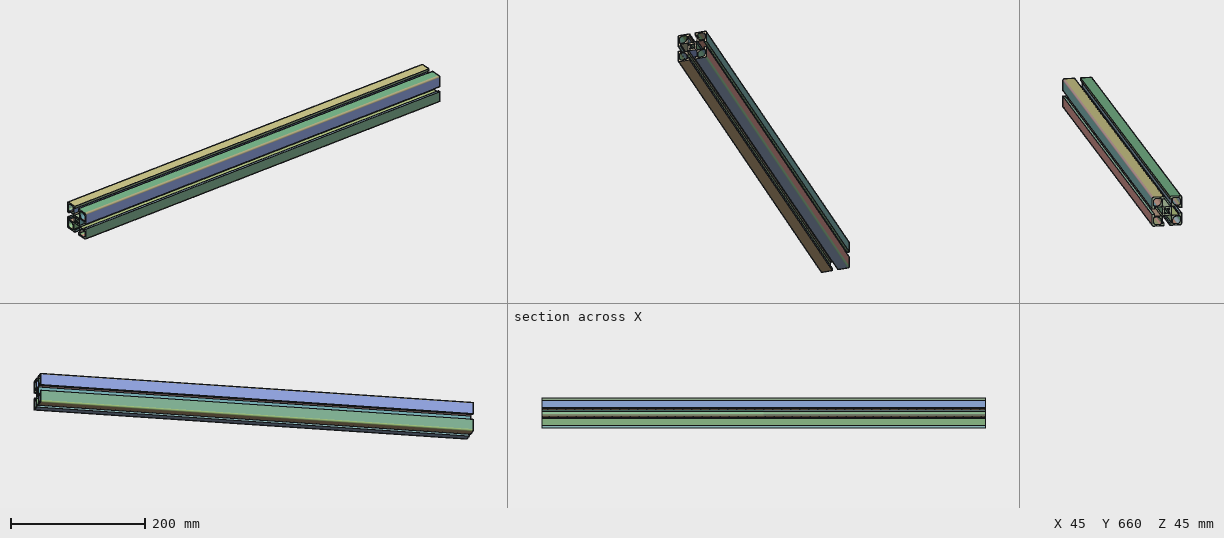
import cadquery as cq

side = 45.0
length = 660.0
outer_radius = 2.5

slot_opening = 8.8
lip_thickness = 3.95
cavity_width = 14.2
cavity_floor_chamfer = 1.8

core_width = 13.4

outer_wall = 2.15
slot_wall = 1.5
chamber_outer_radius = 4.5
chamber_lip_radius = 2.0
chamber_inner_radius = 6.25

bore_diameter = 7.0
relief_diameter = 2.0
relief_offset = 3.2

half_side = side / 2
quarters = range(4)


def section():
    return cq.Workplane("XZ")


def bar_along_y(sketch):
    """Extrude an XZ sketch over the full length, centred on the origin."""
    return sketch.extrude(length / 2, both=True)


def turned(body, quarter):
    """Turn a body about the bar's axis by a number of quarter turns."""
    return body.rotate((0, 0, 0), (0, 1, 0), 90 * quarter)


def blank():
    """Full-length square bar with rounded long edges."""
    return bar_along_y(section().rect(side, side)).edges("|Y").fillet(outer_radius)


def slot():
    """T-slot opening on the +Z side, with chamfered floor corners."""
    lip_z = half_side - lip_thickness
    floor_z = core_width / 2
    half_opening = slot_opening / 2
    half_cavity = cavity_width / 2
    right_half = [
        (half_opening, half_side),
        (half_opening, lip_z),
        (half_cavity, lip_z),
        (half_cavity, floor_z + cavity_floor_chamfer),
        (half_cavity - cavity_floor_chamfer, floor_z),
    ]
    left_half = [(-x, z) for x, z in reversed(right_half)]
    return bar_along_y(section().polyline(right_half + left_half).close())


def chamber():
    """Hollow in the +X +Z corner, square with rounded corners."""
    far = half_side - outer_wall
    near = cavity_width / 2 + slot_wall
    middle = (near + far) / 2
    width = far - near
    hollow = bar_along_y(section().center(middle, middle).rect(width, width))
    corner_radii = [
        (cq.Vector(1, 0, 1), chamber_outer_radius),
        (cq.Vector(-1, 0, -1), chamber_inner_radius),
        (cq.Vector(1, 0, -1), chamber_lip_radius),
        (cq.Vector(-1, 0, 1), chamber_lip_radius),
    ]
    for direction, radius in corner_radii:
        corner_edge = cq.selectors.DirectionMinMaxSelector(direction, True)
        hollow = hollow.edges("|Y").edges(corner_edge).fillet(radius)
    return hollow


def core_bore():
    """Central bore with four relief grooves on the diagonals."""
    bore = bar_along_y(section().circle(bore_diameter / 2))
    relief = bar_along_y(section().center(relief_offset, relief_offset).circle(relief_diameter / 2))
    for quarter in quarters:
        bore = bore.union(turned(relief, quarter))
    return bore


slot_body = slot()
chamber_body = chamber()

result = blank()
for quarter in quarters:
    result = result.cut(turned(slot_body, quarter))
    result = result.cut(turned(chamber_body, quarter))
result = result.cut(core_bore())